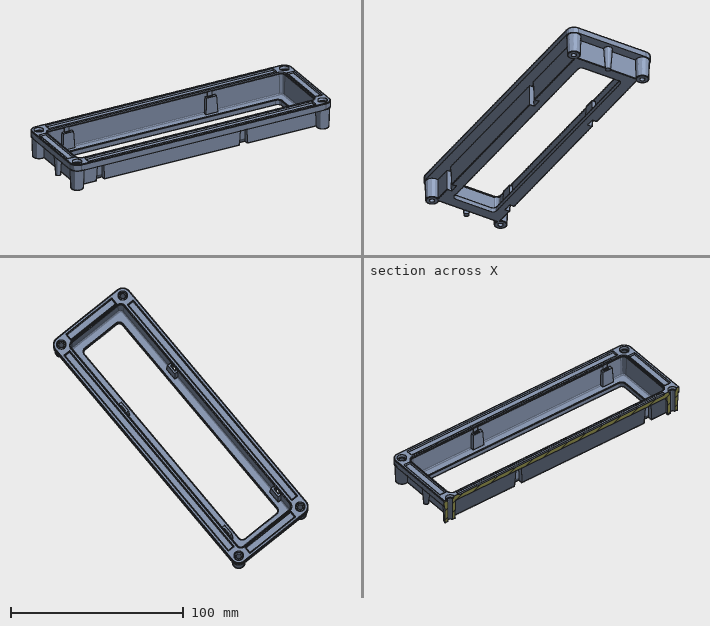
import cadquery as cq
import math

FRAME_WIDTH = 55.42
FRAME_LENGTH = 171.62
FRAME_HEIGHT = 17.2
PIN_DROP = 1.67
DRAFT = 2.0

FLANGE_THICKNESS = 4.1
FLANGE_CORNER_RADIUS = 5.0
FLANGE_EDGE_CHAMFER = 0.4
FLANGE_BOTTOM = FRAME_HEIGHT - FLANGE_THICKNESS

CAVITY_WIDTH = 39.2
CAVITY_LENGTH = 156.6
CAVITY_CORNER_RADIUS = 2.5
WALL_THICKNESS = 2.0
FLOOR_THICKNESS = 3.3
FLOOR_FILLET = 0.6
BOTTOM_CHAMFER = 0.3
RIM_STEP_WIDTH = 0.6
RIM_STEP_DEPTH = 1.0
WINDOW_WIDTH = 28.3
WINDOW_LENGTH = 146.0
WINDOW_CORNER_RADIUS = 2.5
WINDOW_EDGE_CHAMFER = 0.4
CHAMFER_ANGLE = 45.0
RIM_STEP_FLOOR = FRAME_HEIGHT - RIM_STEP_DEPTH

POST_X = 23.0
POST_Y = 81.1
POST_TOP_RADIUS = 4.18
SCREW_HOLE_RADIUS = 1.5
COUNTERBORE_TOP_RADIUS = 2.8
COUNTERBORE_FLOOR_RADIUS = 2.3
COUNTERBORE_DEPTH = 1.5

PIN_Y = 81.0
PIN_TOP_RADIUS = 2.6
PIN_TIP_RADIUS = 1.5

POCKET_DEPTH = 0.8
POCKET_INSET = 0.5
SIDE_POCKET_WIDTH = 4.4
SIDE_POCKET_X = 23.75
SIDE_POCKET_LENGTH = 150.4
END_POCKET_Y = 81.85
END_POCKET_WIDTH = 4.6
END_POCKET_LENGTH = 34.3

CHANNEL_Y_POSITIONS = (29.9, -64.6)
CHANNEL_INNER_X = 16.7
CHANNEL_FACE_LEAN = 0.6
HOUSING_HEIGHT = 13.7
CHANNEL_SKIN = 1.2
HOUSING_TOP_WIDTH = 6.6
HOUSING_BOTTOM_WIDTH = 8.2
CHANNEL_TOP_WIDTH = 4.0
CHANNEL_BOTTOM_WIDTH = 5.4
CHANNEL_LEAD_IN = 0.5
CHANNEL_LEAD_IN_HEIGHT = 1.9
VENT_WIDTH = 1.2
VENT_LENGTH = 3.2
VENT_HEIGHT = 7.0
VENT_X = 19.3


def rounded_block(width, length, radius, bottom, height, taper=0.0):
    """Rounded rectangle centred on the Z axis, extruded upward (or downward) from `bottom`."""
    outline = cq.Sketch().rect(width, length).vertices().fillet(radius)
    return cq.Workplane("XY").workplane(offset=bottom).placeSketch(outline).extrude(height, taper=taper)


def cone(bottom_radius, top_radius, x, y, bottom, top):
    solid = cq.Solid.makeCone(bottom_radius, top_radius, top - bottom)
    return cq.Workplane("XY").add(solid.translate(cq.Vector(x, y, bottom)))


def make_flange():
    flange = rounded_block(FRAME_WIDTH, FRAME_LENGTH, FLANGE_CORNER_RADIUS, FLANGE_BOTTOM, FLANGE_THICKNESS)
    return flange.faces(">Z").edges().chamfer(FLANGE_EDGE_CHAMFER)


def make_tub():
    tub_top = FRAME_HEIGHT - FLANGE_EDGE_CHAMFER
    outline = cq.Workplane("XY").workplane(offset=tub_top).rect(
        CAVITY_WIDTH + 2 * WALL_THICKNESS,
        CAVITY_LENGTH + 2 * WALL_THICKNESS,
    )
    tub = outline.extrude(-tub_top, taper=DRAFT)
    return tub.faces("<Z").edges().chamfer(BOTTOM_CHAMFER)


def make_cavity():
    cavity = rounded_block(
        CAVITY_WIDTH,
        CAVITY_LENGTH,
        CAVITY_CORNER_RADIUS,
        FRAME_HEIGHT,
        FLOOR_THICKNESS - FRAME_HEIGHT,
        DRAFT,
    )
    cavity = cavity.faces("<Z").edges().fillet(FLOOR_FILLET)
    rim = rounded_block(
        CAVITY_WIDTH + 2 * RIM_STEP_WIDTH,
        CAVITY_LENGTH + 2 * RIM_STEP_WIDTH,
        CAVITY_CORNER_RADIUS + RIM_STEP_WIDTH,
        RIM_STEP_FLOOR,
        RIM_STEP_DEPTH,
    )
    window = rounded_block(
        WINDOW_WIDTH,
        WINDOW_LENGTH,
        WINDOW_CORNER_RADIUS,
        FLOOR_THICKNESS,
        -FLOOR_THICKNESS,
    )
    window_edge = rounded_block(
        WINDOW_WIDTH,
        WINDOW_LENGTH,
        WINDOW_CORNER_RADIUS,
        FLOOR_THICKNESS - WINDOW_EDGE_CHAMFER,
        WINDOW_EDGE_CHAMFER,
        -CHAMFER_ANGLE,
    )
    return cavity.union(rim).union(window).union(window_edge)


def make_posts():
    bottom_radius = POST_TOP_RADIUS - FLANGE_BOTTOM * math.tan(math.radians(DRAFT))
    posts = cq.Workplane("XY")
    for x in (-POST_X, POST_X):
        for y in (-POST_Y, POST_Y):
            post = cone(bottom_radius, POST_TOP_RADIUS, x, y, 0, FLANGE_BOTTOM)
            posts = posts.add(post.faces("<Z").edges().chamfer(BOTTOM_CHAMFER))
    return posts.combine()


def make_pins():
    pins = cq.Workplane("XY")
    for y in (-PIN_Y, PIN_Y):
        pins = pins.add(cone(PIN_TIP_RADIUS, PIN_TOP_RADIUS, 0, y, -PIN_DROP, FLANGE_BOTTOM))
    return pins.combine()


def cut_screw_holes(body):
    counterbore_floor = FRAME_HEIGHT - COUNTERBORE_DEPTH
    for x in (-POST_X, POST_X):
        for y in (-POST_Y, POST_Y):
            hole = cq.Workplane("XY").center(x, y).circle(SCREW_HOLE_RADIUS).extrude(FRAME_HEIGHT)
            counterbore = cone(
                COUNTERBORE_FLOOR_RADIUS, COUNTERBORE_TOP_RADIUS, x, y, counterbore_floor, FRAME_HEIGHT
            )
            body = body.cut(hole).cut(counterbore)
    return body


def make_pocket(width, length):
    """Shallow pocket with sloped walls, sunk from the top of the flange at the Z axis."""
    slope = math.degrees(math.atan2(POCKET_INSET, POCKET_DEPTH))
    outline = cq.Workplane("XY").workplane(offset=FRAME_HEIGHT).rect(width, length)
    return outline.extrude(-POCKET_DEPTH, taper=slope)


def cut_pockets(body):
    side_pocket = make_pocket(SIDE_POCKET_WIDTH, SIDE_POCKET_LENGTH)
    end_pocket = make_pocket(END_POCKET_LENGTH, END_POCKET_WIDTH)
    for side in (-1, 1):
        body = body.cut(side_pocket.translate((side * SIDE_POCKET_X, 0, 0)))
        body = body.cut(end_pocket.translate((0, side * END_POCKET_Y, 0)))
    return body


def trapezoid_prism(bottom_width, top_width, height, x_start, x_end):
    """Upright trapezoid in the YZ plane, standing on Z = 0 and running from x_start to x_end."""
    outline = [
        (-bottom_width / 2, 0),
        (bottom_width / 2, 0),
        (top_width / 2, height),
        (-top_width / 2, height),
    ]
    return cq.Workplane("YZ").workplane(offset=x_start).polyline(outline).close().extrude(x_end - x_start)


def side_profile_prism(outline, length):
    """Extrude an XZ outline symmetrically about Y = 0."""
    return cq.Workplane("XZ").polyline(outline).close().extrude(length / 2, both=True)


def make_channel_housing():
    """Housing on the +X wall: tapered in width, with a leaning cavity-side face."""
    wall_x = CAVITY_WIDTH / 2
    profile = side_profile_prism(
        [
            (CHANNEL_INNER_X, 0),
            (wall_x, 0),
            (wall_x, HOUSING_HEIGHT),
            (CHANNEL_INNER_X + CHANNEL_FACE_LEAN, HOUSING_HEIGHT),
        ],
        HOUSING_BOTTOM_WIDTH,
    )
    width = trapezoid_prism(HOUSING_BOTTOM_WIDTH, HOUSING_TOP_WIDTH, HOUSING_HEIGHT, CHANNEL_INNER_X, wall_x)
    return profile.intersect(width)


def make_channel_void():
    """Channel through the +X wall, open below and outside, with a vent at the top of the housing."""
    outside_x = CAVITY_WIDTH / 2 + WALL_THICKNESS
    back_x = CHANNEL_INNER_X + CHANNEL_SKIN
    profile = side_profile_prism(
        [
            (back_x, 0),
            (outside_x, 0),
            (outside_x, FLANGE_BOTTOM),
            (back_x + CHANNEL_FACE_LEAN, FLANGE_BOTTOM),
            (back_x + CHANNEL_LEAD_IN, CHANNEL_LEAD_IN_HEIGHT),
        ],
        CHANNEL_BOTTOM_WIDTH,
    )
    width = trapezoid_prism(CHANNEL_BOTTOM_WIDTH, CHANNEL_TOP_WIDTH, FLANGE_BOTTOM, back_x, outside_x)
    vent = cq.Workplane("XY").box(VENT_WIDTH, VENT_LENGTH, VENT_HEIGHT).translate((VENT_X, 0, FLANGE_BOTTOM))
    return profile.intersect(width).union(vent)


def add_clip_channels(body):
    """Add each channel to the +X wall and its mirror image to the -X wall."""
    housing = make_channel_housing()
    void = make_channel_void()
    for y in CHANNEL_Y_POSITIONS:
        right_housing = housing.translate((0, y, 0))
        right_void = void.translate((0, y, 0))
        body = body.union(right_housing).union(right_housing.mirror("YZ"))
        body = body.cut(right_void).cut(right_void.mirror("YZ"))
    return body


frame = make_flange().union(make_tub()).union(make_posts()).union(make_pins())
frame = frame.cut(make_cavity())
frame = cut_screw_holes(frame)
frame = cut_pockets(frame)
result = add_clip_channels(frame)